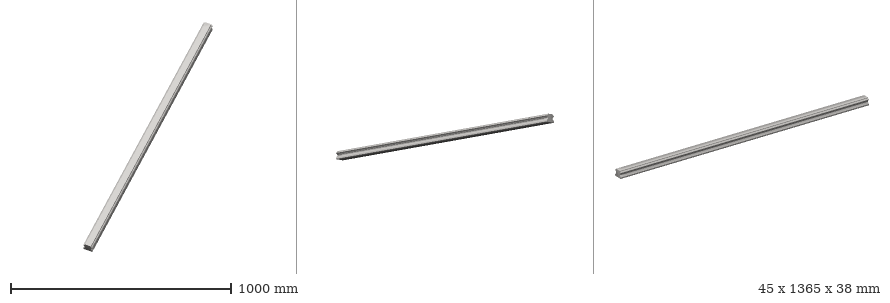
import cadquery as cq

rail_width = 45.0
rail_height = 38.0
rail_length = 1365.0
half_width = rail_width / 2

base_chamfer = 1.5
base_edge_z = 7.5

waist_half = 14.6
waist_bottom_z = 15.6
waist_top_z = 20.0

lower_race_inner = (16.1, 21.4)
lower_race_depth = 0.6
head_bevel = 1.4
head_edge_z = 28.8
head_edge_height = 1.0
lower_race_outer = (half_width - head_bevel, head_edge_z - head_bevel)

upper_race_outer = (19.3, 32.9)
upper_race_inner = (15.4, 36.7)
upper_race_depth = 1.5
top_half = 14.5


def half_section():
    """Outline of the +X half of the rail section, from the bottom centre to the top centre."""
    base = (
        cq.Workplane("XZ")
        .moveTo(0, 0)
        .lineTo(half_width - base_chamfer, 0)
        .lineTo(half_width, base_chamfer)
        .lineTo(half_width, base_edge_z)
    )
    waist = base.lineTo(waist_half, waist_bottom_z).lineTo(waist_half, waist_top_z)
    head_underside = (
        waist.lineTo(*lower_race_inner)
        .sagittaArc(lower_race_outer, lower_race_depth)
        .lineTo(half_width, head_edge_z)
        .lineTo(half_width, head_edge_z + head_edge_height)
    )
    return (
        head_underside.lineTo(*upper_race_outer)
        .sagittaArc(upper_race_inner, upper_race_depth)
        .lineTo(top_half, rail_height)
        .lineTo(0, rail_height)
    )


result = half_section().mirrorY().extrude(rail_length / 2, both=True)